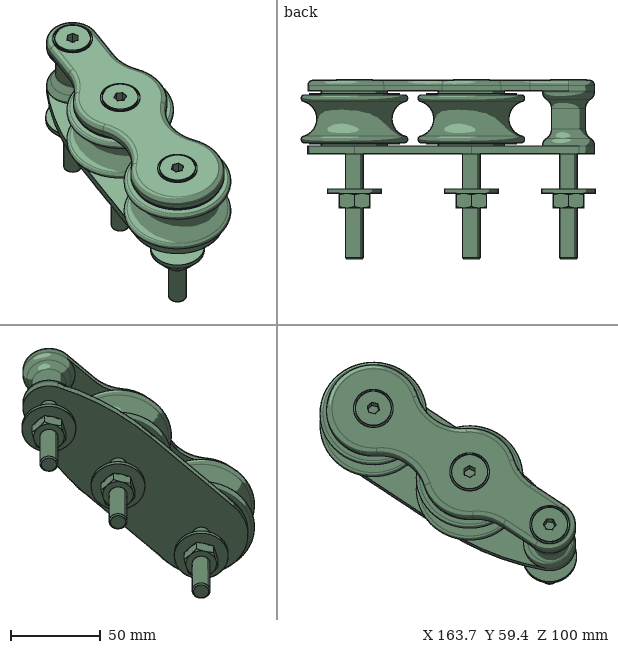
import cadquery as cq
import math


bobbin_x = 0
roller_pitch = 65
first_roller_x = 54
roller_xs = [first_roller_x, first_roller_x + roller_pitch]
bolt_xs = [bobbin_x] + roller_xs

nose_radius = 14.5
end_radius = 26
base_thickness = 4.5
plate_gap = 30.5
cover_thickness = 6
cover_edge_fillet = 3
cover_bottom_z = base_thickness + plate_gap
cover_top_z = cover_bottom_z + cover_thickness

bobbin_height = 30
bobbin_core_radius = 19 / 2
bobbin_neck_radius = 6
bobbin_shoulder_radius = 5
bobbin_mid_z = base_thickness + bobbin_height / 2

roller_mid_z = bobbin_mid_z
roller_height = 28
hub_radius = 50 / 2
spacer_radius = 37 / 2
rim_radius = 59.4 / 2
lip_root_radius = 28
lip_thickness = 3.8
groove_radius = 10
groove_bottom_radius = 21

bolt_length = 100
bolt_radius = 10 / 2
bolt_tip_chamfer = 0.8
head_radius = 20 / 2
head_protrusion = 0.5
head_recess_radius = 22 / 2
head_recess_depth = 0.5
bolt_top_z = cover_top_z + head_protrusion
bolt_tip_z = bolt_top_z - bolt_length
socket_across_flats = 6
socket_depth = 6
socket_turns = [30, 8, 20]

washer_radius = 30 / 2
washer_thickness = 2.5
washer_drop = 19.5
nut_across_flats = 17
nut_height = 8
nut_chamfer_angle = 30
washer_bottom_z = -washer_drop - washer_thickness


def disc(x, radius, bottom_z, height):
    return cq.Workplane("XY", origin=(x, 0, bottom_z)).circle(radius).extrude(height)


def hexagon(x, across_flats, turn, bottom_z, height):
    across_corners = across_flats / math.cos(math.radians(30))
    prism = cq.Workplane("XY").polygon(6, across_corners).extrude(height)
    return prism.rotate((0, 0, 0), (0, 0, 1), turn).translate((x, 0, bottom_z))


def make_base_plate():
    """Flat plate whose sides swell from the nose arc to the full width at the first roller."""
    first_x, last_x = roller_xs
    side_radius = (first_x**2 + end_radius**2 - nose_radius**2) / (2 * (end_radius - nose_radius))
    side_center_y = end_radius - side_radius
    center_distance = side_radius - nose_radius
    touch_x = -first_x * nose_radius / center_distance
    touch_y = -side_center_y * nose_radius / center_distance
    mid_angle = (math.atan2(touch_y - side_center_y, touch_x - first_x) + math.pi / 2) / 2
    mid_x = first_x + side_radius * math.cos(mid_angle)
    mid_y = side_center_y + side_radius * math.sin(mid_angle)
    return (
        cq.Workplane("XY")
        .moveTo(touch_x, touch_y)
        .threePointArc((mid_x, mid_y), (first_x, end_radius))
        .lineTo(last_x, end_radius)
        .threePointArc((last_x + end_radius, 0), (last_x, -end_radius))
        .lineTo(first_x, -end_radius)
        .threePointArc((mid_x, -mid_y), (touch_x, -touch_y))
        .threePointArc((-nose_radius, 0), (touch_x, touch_y))
        .close()
        .extrude(base_thickness)
    )


def make_cover_plate():
    """Waisted plate: nose arc, straight neck and a round lobe over each roller, joined by hollow arcs."""
    first_x, last_x = roller_xs
    waist_dx = roller_pitch / 2
    waist_radius = (waist_dx**2 + nose_radius**2 - end_radius**2) / (2 * (end_radius - nose_radius))
    waist_center_y = nose_radius + waist_radius
    lobe_to_waist = end_radius + waist_radius
    lobe_share = end_radius / lobe_to_waist
    touch_dx = waist_dx * lobe_share
    touch_y = waist_center_y * lobe_share

    neck_x = first_x - waist_dx
    neck_end = (first_x - touch_dx, touch_y)
    neck_turn = math.asin(waist_dx / lobe_to_waist) / 2
    neck_mid = (
        neck_x + waist_radius * math.sin(neck_turn),
        waist_center_y - waist_radius * math.cos(neck_turn),
    )

    waist_start = (first_x + touch_dx, touch_y)
    waist_mid = (first_x + waist_dx, nose_radius)
    waist_end = (last_x - touch_dx, touch_y)

    def mirrored(point):
        return (point[0], -point[1])

    plate = (
        cq.Workplane("XY", origin=(0, 0, cover_bottom_z))
        .moveTo(0, nose_radius)
        .lineTo(neck_x, nose_radius)
        .threePointArc(neck_mid, neck_end)
        .threePointArc((first_x, end_radius), waist_start)
        .threePointArc(waist_mid, waist_end)
        .threePointArc((last_x + end_radius, 0), mirrored(waist_end))
        .threePointArc(mirrored(waist_mid), mirrored(waist_start))
        .threePointArc((first_x, -end_radius), mirrored(neck_end))
        .threePointArc(mirrored(neck_mid), (neck_x, -nose_radius))
        .lineTo(0, -nose_radius)
        .threePointArc((-nose_radius, 0), (0, nose_radius))
        .close()
        .extrude(cover_thickness)
    )
    plate = plate.faces(">Z").edges().fillet(cover_edge_fillet)
    for x in bolt_xs:
        plate = plate.cut(disc(x, head_recess_radius, cover_top_z - head_recess_depth, head_recess_depth))
    return plate


def make_bobbin():
    """Turned post; each flare is a concave neck arc running tangent into a convex shoulder arc."""
    flare = nose_radius - bobbin_core_radius
    flare_angle = math.acos(1 - flare / (bobbin_neck_radius + bobbin_shoulder_radius))
    half_height = bobbin_height / 2
    neck_center_r = bobbin_core_radius + bobbin_neck_radius
    shoulder_center_r = nose_radius - bobbin_shoulder_radius
    core_half = half_height - (bobbin_neck_radius + bobbin_shoulder_radius) * math.sin(flare_angle)

    def neck(angle):
        r = neck_center_r - bobbin_neck_radius * math.cos(angle)
        return r, core_half + bobbin_neck_radius * math.sin(angle)

    def shoulder(angle):
        r = shoulder_center_r + bobbin_shoulder_radius * math.cos(angle)
        return r, half_height - bobbin_shoulder_radius * math.sin(angle)

    upper_half = (
        cq.Workplane("XZ")
        .lineTo(bobbin_core_radius, 0)
        .lineTo(bobbin_core_radius, core_half)
        .threePointArc(neck(flare_angle / 2), neck(flare_angle))
        .threePointArc(shoulder(flare_angle / 2), shoulder(0))
        .lineTo(0, half_height)
        .close()
        .revolve(360, (0, 0, 0), (0, 1, 0))
    )
    bobbin = upper_half.union(upper_half.mirror("XY")).translate((bobbin_x, 0, bobbin_mid_z))
    bobbin_top_z = bobbin_mid_z + half_height
    collar = disc(bobbin_x, nose_radius, bobbin_top_z, cover_bottom_z - bobbin_top_z)
    return bobbin.union(collar)


def make_roller(x):
    """Grooved roller with rounded rims, raised hub faces and the spacer that fills the plate gap."""
    half_height = roller_height / 2
    groove_center_r = groove_bottom_radius + groove_radius
    lip_inner_z = math.sqrt(groove_radius**2 - (groove_center_r - lip_root_radius) ** 2)
    lip_mid_z = lip_inner_z + lip_thickness / 2
    lip_outer_z = lip_inner_z + lip_thickness
    profile = (
        cq.Workplane("XZ")
        .moveTo(0, -half_height)
        .lineTo(hub_radius, -half_height)
        .lineTo(hub_radius, -lip_outer_z)
        .lineTo(lip_root_radius, -lip_outer_z)
        .threePointArc((rim_radius, -lip_mid_z), (lip_root_radius, -lip_inner_z))
        .threePointArc((groove_bottom_radius, 0), (lip_root_radius, lip_inner_z))
        .threePointArc((rim_radius, lip_mid_z), (lip_root_radius, lip_outer_z))
        .lineTo(hub_radius, lip_outer_z)
        .lineTo(hub_radius, half_height)
        .lineTo(0, half_height)
        .close()
    )
    roller = profile.revolve(360, (0, 0, 0), (0, 1, 0)).translate((x, 0, roller_mid_z))
    return roller.union(disc(x, spacer_radius, base_thickness, plate_gap))


def make_nut(x):
    """Hexagon nut with its corners on the Y axis, chamfered conically at both ends."""
    corner_radius = nut_across_flats / 2 / math.cos(math.radians(30))
    chamfer_width = corner_radius - nut_across_flats / 2
    chamfer_height = chamfer_width * math.tan(math.radians(nut_chamfer_angle))
    bottom_z = washer_bottom_z - nut_height
    envelope = disc(x, corner_radius, bottom_z, nut_height)
    envelope = envelope.faces("<Z or >Z").edges().chamfer(chamfer_height, chamfer_width)
    return hexagon(x, nut_across_flats, 30, bottom_z, nut_height).intersect(envelope)


def make_bolt(x):
    """Shank, head, washer and nut; the head reaches down to the underside of the cover plate."""
    shank = disc(x, bolt_radius, bolt_tip_z, bolt_length)
    shank = shank.faces("<Z").edges().chamfer(bolt_tip_chamfer)
    head = disc(x, head_radius, cover_bottom_z, bolt_top_z - cover_bottom_z)
    washer = disc(x, washer_radius, washer_bottom_z, washer_thickness)
    return shank.union(head).union(washer).union(make_nut(x))


result = make_base_plate().union(make_cover_plate()).union(make_bobbin())
for roller_x in roller_xs:
    result = result.union(make_roller(roller_x))
for bolt_x in bolt_xs:
    result = result.union(make_bolt(bolt_x))
for bolt_x, socket_turn in zip(bolt_xs, socket_turns):
    socket = hexagon(bolt_x, socket_across_flats, socket_turn, bolt_top_z - socket_depth, socket_depth)
    result = result.cut(socket)